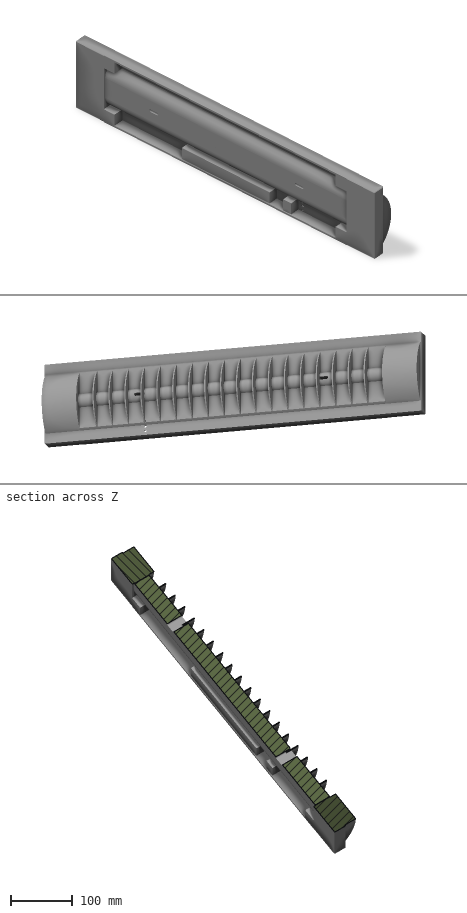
import cadquery as cq
length = 639.0
height = 134.0
depth = 46.5
half_height = height / 2

plate_depth = 22.3
cap_length = 60.5
profile_length = length - 2 * cap_length
profile_half = profile_length / 2

lip_thickness = 3.5
floor_front = 19.8
channel_edge = half_height - lip_thickness

hump_front = 3.5
hump_radius = 22.0
hump_flat_half = 20.0
hump_half = 40.0
slot_spacing = 310.5
slot_length = 18.0
slot_width = 5.0

arch_half = 50.0
pedestal_back = 26.0
rib_radius = 13.5
rib_back = 32.8
fin_count = 18
fin_pitch = 27.0
fin_thickness = 2.0

block_front = 2.0
block_top = -41.3
driver_span = (-94.0, 93.5)
terminal_span = (122.5, 139.5)

cable_hole_x = 148.2
cable_holes = [(4.23, -44.8), (3.83, -52.7), (3.83, -60.6)]

tongue_length = 23.0
tongue_inner = 41.3
crown_inset = 2.0
crown_back = 43.5
cap_edge_break = 1.0


def box(x_span, y_span, z_span):
    """Box between the given (low, high) limits."""
    sizes = [high - low for low, high in (x_span, y_span, z_span)]
    corner = (x_span[0], y_span[0], z_span[0])
    return cq.Workplane("XY").box(*sizes, centered=False).translate(corner)


def mirrored_in_z(body):
    """The body together with its mirror image below the middle plane."""
    return body.union(body.mirror("XY"))


def arch(x_span, peak):
    """Circular segment standing on the back of the plate, with its crest at Y = peak."""
    return (
        cq.Workplane("YZ", origin=(x_span[0], 0, 0))
        .moveTo(plate_depth, -arch_half)
        .threePointArc((peak, 0), (plate_depth, arch_half))
        .close()
        .extrude(x_span[1] - x_span[0])
    )


def make_hump(x_span):
    """Flat-topped hump with rounded shoulders and short upright flanks, standing on the floor."""
    rounded_half = hump_flat_half + hump_radius
    hump = box(x_span, (hump_front, pedestal_back), (-rounded_half, rounded_half))
    hump = hump.edges("|X and <Y").fillet(hump_radius)
    return hump.intersect(box(x_span, (hump_front, pedestal_back), (-hump_half, hump_half)))


def make_fins():
    first_x = -(fin_count - 1) / 2 * fin_pitch
    fins = cq.Workplane("XY")
    for index in range(fin_count):
        x = first_x + index * fin_pitch
        fins = fins.add(arch((x - fin_thickness / 2, x + fin_thickness / 2), depth))
    return fins.vals()


def make_profile():
    x_span = (-profile_half, profile_half)
    body = box(x_span, (floor_front, plate_depth), (-half_height, half_height))
    body = body.union(mirrored_in_z(box(x_span, (0, plate_depth), (channel_edge, half_height))))
    body = body.union(make_hump(x_span))

    pedestal = arch(x_span, depth).intersect(
        box(x_span, (0, pedestal_back), (-half_height, half_height))
    )
    rib = (
        cq.Workplane("YZ", origin=(-profile_half, 0, 0))
        .center(rib_back - rib_radius, 0)
        .circle(rib_radius)
        .extrude(profile_length)
    )
    body = body.union(pedestal).union(rib)

    for span in (driver_span, terminal_span):
        body = body.union(box(span, (block_front, plate_depth), (-channel_edge, block_top)))

    slots = (
        cq.Workplane("XZ")
        .pushPoints([(-slot_spacing / 2, 0), (slot_spacing / 2, 0)])
        .slot2D(slot_length, slot_width)
        .extrude(-depth)
    )
    body = body.cut(slots)
    for diameter, z in cable_holes:
        hole = cq.Workplane("XZ").center(cable_hole_x, z).circle(diameter / 2).extrude(-depth)
        body = body.cut(hole)

    for fin in make_fins():
        body = body.union(cq.Workplane(fin))
    return body


def make_left_cap():
    outer_x = -length / 2
    inner_x = -profile_half
    cap = box((outer_x, inner_x), (0, plate_depth), (-half_height, half_height))
    cap = cap.edges("<X or (<Y and |X)").chamfer(cap_edge_break)
    tongue = box(
        (inner_x, inner_x + tongue_length), (0, floor_front), (tongue_inner, channel_edge)
    )
    cap = cap.union(mirrored_in_z(tongue))
    return cap.union(arch((outer_x + crown_inset, inner_x), crown_back))


profile = make_profile()
left_cap = make_left_cap()
right_cap = left_cap.mirror("YZ")

result = cq.Compound.makeCompound([profile.val(), left_cap.val(), right_cap.val()])